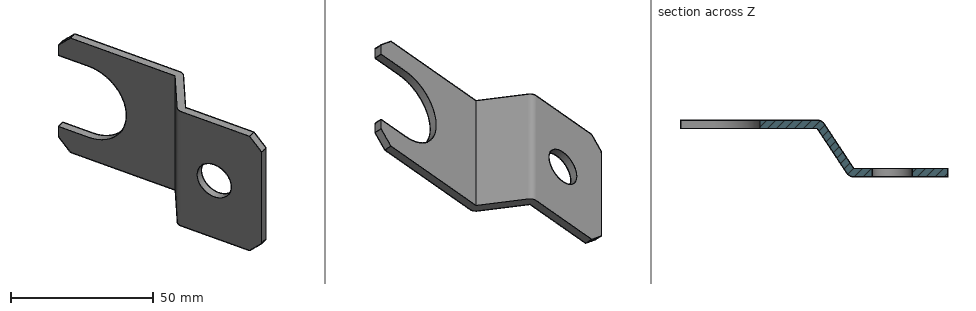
import cadquery as cq
import math

length = 94.0
depth = 20.0
height = 50.0
thickness = 3.0

rear_bend_x = 48.0
front_bend_x = 60.9

corner_chamfer = 5.0
slot_width = 31.0
slot_depth = 27.9
hole_diameter = 14.0
hole_x = 74.45


def sheet_profile():
    """Z-shaped sheet section in XY, with outer bends rounded about the inner corners."""
    rear_inner_y = depth - thickness
    run = front_bend_x - rear_bend_x
    drop = rear_inner_y - thickness
    slope = math.atan2(drop, run) + math.asin(thickness / math.hypot(run, drop))

    def bend_point(corner_x, corner_y, angle, side):
        """Point on an outer bend, turned by angle from the flat leg; side is +1 rear, -1 front."""
        return (
            corner_x + side * thickness * math.sin(angle),
            corner_y + side * thickness * math.cos(angle),
        )

    rear_middle = bend_point(rear_bend_x, rear_inner_y, slope / 2, 1)
    front_middle = bend_point(front_bend_x, thickness, slope / 2, -1)
    front_start = bend_point(front_bend_x, thickness, slope, -1)
    rear_end = bend_point(rear_bend_x, rear_inner_y, slope, 1)

    return (
        cq.Workplane("XY")
        .moveTo(0, rear_inner_y)
        .lineTo(rear_bend_x, rear_inner_y)
        .lineTo(*front_start)
        .threePointArc(front_middle, (front_bend_x, 0))
        .lineTo(length, 0)
        .lineTo(length, thickness)
        .lineTo(front_bend_x, thickness)
        .lineTo(*rear_end)
        .threePointArc(rear_middle, (rear_bend_x, depth))
        .lineTo(0, depth)
        .close()
    )


def slot_cutter():
    """Open round-ended slot through the rear leg."""
    radius = slot_width / 2
    centre_x = slot_depth - radius
    return (
        cq.Workplane("XZ")
        .moveTo(0, -radius)
        .lineTo(centre_x, -radius)
        .threePointArc((slot_depth, 0), (centre_x, radius))
        .lineTo(0, radius)
        .close()
        .extrude(-depth)
    )


def hole_cutter():
    """Round hole through the front leg."""
    return cq.Workplane("XZ").center(hole_x, 0).circle(hole_diameter / 2).extrude(-depth)


sheet = sheet_profile().extrude(height / 2, both=True)
sheet = sheet.faces("<X or >X").edges("|Y").chamfer(corner_chamfer)

result = sheet.cut(slot_cutter()).cut(hole_cutter())